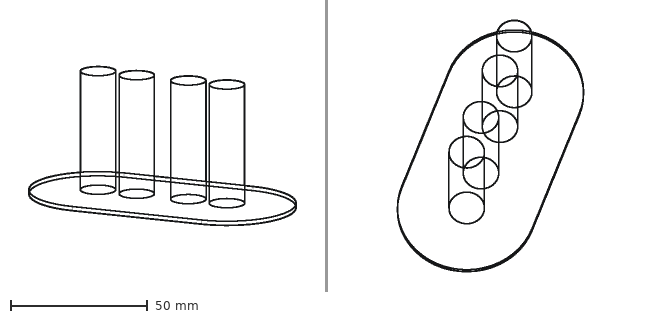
import cadquery as cq

PLATE_LENGTH = 101.6
PLATE_WIDTH = 50.8
PLATE_THICKNESS = 1.6

OVERALL_HEIGHT = 46.6
POST_DIAMETER = 13.0
POST_HEIGHT = OVERALL_HEIGHT - PLATE_THICKNESS
INNER_POST_OFFSET = 10.2
OUTER_POST_OFFSET = 25.4
POST_POSITIONS = [
    -OUTER_POST_OFFSET,
    -INNER_POST_OFFSET,
    INNER_POST_OFFSET,
    OUTER_POST_OFFSET,
]


def make_plate():
    """Plate centred on the origin, with its underside at Z = 0."""
    return cq.Workplane("XY").slot2D(PLATE_LENGTH, PLATE_WIDTH).extrude(PLATE_THICKNESS)


def make_post(x_position):
    """Solid cylinder standing on the top face of the plate."""
    return (
        cq.Workplane("XY", origin=(x_position, 0, PLATE_THICKNESS))
        .circle(POST_DIAMETER / 2)
        .extrude(POST_HEIGHT)
    )


plate = make_plate()
posts = [make_post(x_position) for x_position in POST_POSITIONS]

result = cq.Compound.makeCompound([plate.val(), *[post.val() for post in posts]])